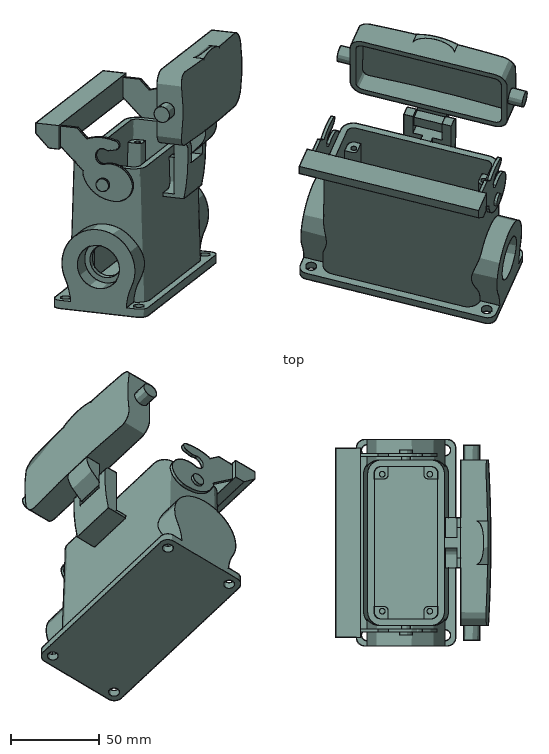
import cadquery as cq
TOTAL_HEIGHT = 144.5

PLATE_WIDTH = 56.4
PLATE_LENGTH = 117.0
PLATE_THICKNESS = 4.9
PLATE_CORNER_RADIUS = 5.0
MOUNTING_HOLE_RADIUS = 3.0
MOUNTING_HOLE_X = 22.1
MOUNTING_HOLE_Y = 52.3

TOWER_HEIGHT = 83.7
TOWER_LENGTH = 93.7
TOWER_TOP_WIDTH = 43.4
TOWER_FOOT_WIDTH = 48.0
TOWER_CORNER_RADIUS = 7.7
RIM_HEIGHT = 4.9
WALL = 3.8

COLUMN_TOP = 71.5
COLUMN_INNER_X = 10.1
COLUMN_INNER_Y = 36.1
COLUMN_CORNER_RADIUS = 2.3
SCREW_HOLE_X = 13.5
SCREW_HOLE_Y = 38.7
SCREW_HOLE_RADIUS = 1.6
SCREW_HOLE_DEPTH = 11.5

BOSS_RADIUS = 22.1
BOSS_CENTRE_Z = 27.2
BOSS_WAIST_HALF_WIDTH = 16.9
BOSS_SHOULDER_DROP = 9.3
CABLE_BORE_RADIUS = 12.7
CABLE_HOLE_RADIUS = 9.5
CABLE_BORE_DEPTH = 11.7

PIVOT_Z = 73.9
PIVOT_NECK_RADIUS = 2.6
PIVOT_HEAD_RADIUS = 3.8
PIVOT_HEAD_THICKNESS = 1.7

BRACKET_BOTTOM = 58.7
BRACKET_FLOOR = 60.9
BRACKET_WEB_TOP = 78.8
BRACKET_HALF_WIDTH = 14.2
BRACKET_WEB_HALF_THICKNESS = 3.0
BRACKET_FILLET = 3.9
POST_FRONT_X = 28.9
POST_BACK_X = 37.3
POST_FOOT_BACK_X = 34.8
POST_TOP = 92.5
POST_TOP_RADIUS = 4.2
POST_STRAIGHT_BOTTOM = 82.4

COVER_FRONT_X = 31.0
COVER_CROWN_X = 48.1
COVER_HEIGHT = 43.4
COVER_TOP = 142.4
COVER_WALL = 3.5
DOME_RISE_ACROSS = 1.95
DOME_RISE_ALONG = 1.37
COVER_PIN_X = 37.2
COVER_PIN_RADIUS = 4.6
COVER_PIN_SPAN = 110.5

TAB_HALF_LENGTH = 12.3
TAB_RAMP_START_X = 40.0
TAB_RAMP_END_X = 44.0
TAB_RAMP_MIDDLE = (42.5, 143.3)
TAB_BACK_X = 46.3

ARM_HALF_WIDTH = 8.7
ARM_FRONT_X = 36.7
ARM_BACK_X = 46.0
ARM_BEND_X = 42.4
ARM_BEND_Z = 89.3
ARM_FOOT_TOP = 89.9
ARM_FOOT_BOTTOM = 83.1

LEVER_SIDE_OFFSET = 48.7
LEVER_SIDE_THICKNESS = 1.9
HANDLE_LENGTH = 107.0
HANDLE_FRONT_X = -39.9
HANDLE_BACK_X = -25.9
HANDLE_TOP = 106.7
HANDLE_BOTTOM = 92.7
HANDLE_CHAMFER = 8.0

HALF_TOWER_LENGTH = TOWER_LENGTH / 2
RIM_BOTTOM = TOWER_HEIGHT - RIM_HEIGHT
COVER_CENTRE_Z = COVER_TOP - COVER_HEIGHT / 2
COVER_BOTTOM = COVER_TOP - COVER_HEIGHT


def cylinder_along_y(x, z, radius, y_start, y_end):
    return (
        cq.Workplane("XZ", origin=(x, y_start, z))
        .circle(radius)
        .extrude(y_start - y_end)
    )


def box_between(x_range, y_range, z_range):
    (x0, x1), (y0, y1), (z0, z1) = x_range, y_range, z_range
    return cq.Workplane("XY").box(x1 - x0, y1 - y0, z1 - z0, centered=False).translate((x0, y0, z0))


def extruded_about_y(outline, half_width):
    """Extrude an outline in the XZ plane to both sides of the middle plane."""
    return outline.extrude(half_width, both=True)


def base_plate():
    plate = (
        cq.Workplane("XY")
        .rect(PLATE_WIDTH, PLATE_LENGTH)
        .extrude(PLATE_THICKNESS)
        .edges("|Z")
        .fillet(PLATE_CORNER_RADIUS)
    )
    holes = (
        cq.Workplane("XY")
        .rect(2 * MOUNTING_HOLE_X, 2 * MOUNTING_HOLE_Y, forConstruction=True)
        .vertices()
        .circle(MOUNTING_HOLE_RADIUS)
        .extrude(PLATE_THICKNESS)
    )
    return plate.cut(holes)


def tower_shape(inset):
    """Tower with sloping X sides and an upright rim, shrunk all round by inset."""
    top_x = TOWER_TOP_WIDTH / 2 - inset
    foot_x = TOWER_FOOT_WIDTH / 2 - inset
    outline = cq.Workplane("XZ").polyline(
        [
            (-foot_x, PLATE_THICKNESS),
            (-top_x, RIM_BOTTOM),
            (-top_x, TOWER_HEIGHT),
            (top_x, TOWER_HEIGHT),
            (top_x, RIM_BOTTOM),
            (foot_x, PLATE_THICKNESS),
        ]
    )
    tower = extruded_about_y(outline.close(), HALF_TOWER_LENGTH - inset)
    return tower.edges("(not |X) and (not |Y)").fillet(TOWER_CORNER_RADIUS - inset)


def cable_bosses():
    """Bosses with a keyhole outline on both ends of the tower."""
    inner_y = HALF_TOWER_LENGTH - TOWER_CORNER_RADIUS
    shoulder_x = (BOSS_RADIUS**2 - BOSS_SHOULDER_DROP**2) ** 0.5
    half = (
        cq.Workplane("XZ", origin=(0, -inner_y, 0))
        .moveTo(0, BOSS_CENTRE_Z + BOSS_RADIUS)
        .radiusArc((shoulder_x, BOSS_CENTRE_Z + BOSS_SHOULDER_DROP), BOSS_RADIUS)
        .radiusArc((shoulder_x, BOSS_CENTRE_Z - BOSS_SHOULDER_DROP), BOSS_RADIUS)
        .tangentArcPoint((BOSS_WAIST_HALF_WIDTH, PLATE_THICKNESS), relative=False)
        .lineTo(BOSS_WAIST_HALF_WIDTH, 0)
        .lineTo(0, 0)
        .close()
        .extrude(PLATE_LENGTH / 2 - inner_y)
    )
    return half.mirror("YZ", union=True).mirror("XZ", union=True)


def screw_columns():
    outer_x = TOWER_FOOT_WIDTH / 2
    column = (
        box_between(
            (COLUMN_INNER_X, outer_x),
            (COLUMN_INNER_Y, HALF_TOWER_LENGTH),
            (PLATE_THICKNESS, COLUMN_TOP),
        )
        .edges("|Z and <X and <Y")
        .fillet(COLUMN_CORNER_RADIUS)
    )
    screw_hole = (
        cq.Workplane("XY", origin=(SCREW_HOLE_X, SCREW_HOLE_Y, COLUMN_TOP))
        .circle(SCREW_HOLE_RADIUS)
        .extrude(-SCREW_HOLE_DEPTH)
    )
    return column.cut(screw_hole).mirror("YZ", union=True).mirror("XZ", union=True)


def cable_entry():
    """Stepped bore through the boss at the -Y end into the cavity."""
    outer_y = -PLATE_LENGTH / 2
    bore = cylinder_along_y(0, BOSS_CENTRE_Z, CABLE_BORE_RADIUS, outer_y, outer_y + CABLE_BORE_DEPTH)
    hole = cylinder_along_y(0, BOSS_CENTRE_Z, CABLE_HOLE_RADIUS, outer_y, -COLUMN_INNER_Y)
    return bore.union(hole)


def pivot(end):
    """Headed pin through one lever side."""
    head_start = LEVER_SIDE_OFFSET + LEVER_SIDE_THICKNESS
    head_end = head_start + PIVOT_HEAD_THICKNESS
    inner_y = HALF_TOWER_LENGTH - WALL / 2
    neck = cylinder_along_y(0, PIVOT_Z, PIVOT_NECK_RADIUS, end * inner_y, end * head_start)
    head = cylinder_along_y(0, PIVOT_Z, PIVOT_HEAD_RADIUS, end * head_start, end * head_end)
    return neck.union(head)


def bracket_web():
    """Inverted T between the tower and the posts, with a filleted root."""
    wall_x = TOWER_TOP_WIDTH / 2 - WALL / 2
    foot = box_between(
        (wall_x, POST_FRONT_X), (-BRACKET_HALF_WIDTH, BRACKET_HALF_WIDTH), (BRACKET_BOTTOM, BRACKET_FLOOR)
    )
    web = box_between(
        (wall_x, POST_FRONT_X),
        (-BRACKET_WEB_HALF_THICKNESS, BRACKET_WEB_HALF_THICKNESS),
        (BRACKET_BOTTOM, BRACKET_WEB_TOP),
    )
    root_edges = cq.selectors.BoxSelector(
        (wall_x, -BRACKET_HALF_WIDTH / 2, BRACKET_FLOOR - 0.1),
        (POST_FRONT_X, BRACKET_HALF_WIDTH / 2, BRACKET_FLOOR + 0.1),
    )
    return foot.union(web).edges("|X").edges(root_edges).fillet(BRACKET_FILLET)


def bracket_posts():
    """Two posts on a common wall, with a slot between them for the cover arm."""
    outline = (
        cq.Workplane("XZ")
        .moveTo(POST_FRONT_X, BRACKET_BOTTOM)
        .lineTo(POST_FRONT_X, POST_TOP)
        .lineTo(POST_BACK_X - POST_TOP_RADIUS, POST_TOP)
        .radiusArc((POST_BACK_X, POST_TOP - POST_TOP_RADIUS), POST_TOP_RADIUS)
        .lineTo(POST_BACK_X, POST_STRAIGHT_BOTTOM)
        .tangentArcPoint((POST_FOOT_BACK_X, BRACKET_BOTTOM), relative=False)
        .close()
    )
    slot = box_between(
        (POST_FRONT_X, POST_BACK_X), (-ARM_HALF_WIDTH, ARM_HALF_WIDTH), (BRACKET_WEB_TOP, POST_TOP)
    )
    return extruded_about_y(outline, BRACKET_HALF_WIDTH).cut(slot)


def cover_block(inset, front_x, corner_radius):
    """Round-cornered block along X whose back is domed in both directions."""
    height = COVER_HEIGHT - 2 * inset
    length = TOWER_LENGTH - 2 * inset
    crown_x = COVER_CROWN_X - inset
    block = (
        cq.Workplane("YZ", origin=(front_x, 0, COVER_CENTRE_Z))
        .rect(length, height)
        .extrude(crown_x - front_x)
        .edges("|X")
        .fillet(corner_radius)
    )
    return block.intersect(dome(crown_x, front_x))


def dome(crown_x, front_x):
    """Ring sector bounded outside by a surface curved along Y and along Z."""
    half_height = COVER_HEIGHT / 2
    ring_radius = HALF_TOWER_LENGTH**2 / (2 * DOME_RISE_ALONG)
    axis_x = crown_x - ring_radius
    inner_x = front_x - 2 * DOME_RISE_ALONG
    edge_x = crown_x - DOME_RISE_ACROSS
    sector_angle = 10
    return (
        cq.Workplane("XZ", origin=(0, 0, COVER_CENTRE_Z))
        .moveTo(inner_x, -half_height)
        .lineTo(edge_x, -half_height)
        .threePointArc((crown_x, 0), (edge_x, half_height))
        .lineTo(inner_x, half_height)
        .close()
        .revolve(sector_angle, (axis_x, 0), (axis_x, 1))
        .rotate((axis_x, 0, 0), (axis_x, 0, 1), -sector_angle / 2)
    )


def cover_pin(end):
    inner_y = HALF_TOWER_LENGTH - COVER_WALL / 2
    tip_y = COVER_PIN_SPAN / 2
    return cylinder_along_y(COVER_PIN_X, COVER_CENTRE_Z, COVER_PIN_RADIUS, end * inner_y, end * tip_y)


def thumb_tab():
    """Arched tab on top of the cover with a hollow ramp on its front."""
    arch = (
        cq.Workplane("YZ", origin=(TAB_RAMP_START_X, 0, 0))
        .moveTo(-TAB_HALF_LENGTH, COVER_TOP)
        .threePointArc((0, TOTAL_HEIGHT), (TAB_HALF_LENGTH, COVER_TOP))
        .lineTo(TAB_HALF_LENGTH, COVER_TOP - COVER_WALL / 2)
        .lineTo(-TAB_HALF_LENGTH, COVER_TOP - COVER_WALL / 2)
        .close()
        .extrude(TAB_BACK_X - TAB_RAMP_START_X)
    )
    above_ramp = (
        cq.Workplane("XZ")
        .moveTo(TAB_RAMP_START_X, COVER_TOP)
        .lineTo(TAB_RAMP_START_X, TOTAL_HEIGHT)
        .lineTo(TAB_RAMP_END_X, TOTAL_HEIGHT)
        .threePointArc(TAB_RAMP_MIDDLE, (TAB_RAMP_START_X, COVER_TOP))
        .close()
    )
    return arch.cut(extruded_about_y(above_ramp, TAB_HALF_LENGTH))


def cover_arm():
    """Arm below the cover whose foot fills the slot between the posts."""
    foot_back_x = ARM_BEND_X - (ARM_BEND_Z - ARM_FOOT_BOTTOM)
    arm_top = COVER_BOTTOM + COVER_WALL / 2
    outline = (
        cq.Workplane("XZ")
        .moveTo(ARM_FRONT_X, arm_top)
        .lineTo(ARM_FRONT_X, ARM_FOOT_TOP)
        .lineTo(COVER_FRONT_X, ARM_FOOT_TOP)
        .lineTo(COVER_FRONT_X, ARM_FOOT_BOTTOM)
        .lineTo(foot_back_x, ARM_FOOT_BOTTOM)
        .lineTo(ARM_BEND_X, ARM_BEND_Z)
        .tangentArcPoint((ARM_BACK_X, COVER_BOTTOM), relative=False)
        .lineTo(ARM_BACK_X, arm_top)
        .close()
    )
    return extruded_about_y(outline, ARM_HALF_WIDTH)


def cover():
    recess = cover_block(COVER_WALL, COVER_FRONT_X, TOWER_CORNER_RADIUS - COVER_WALL)
    shell = cover_block(0, COVER_FRONT_X, TOWER_CORNER_RADIUS).cut(recess)
    for end in (-1, 1):
        shell = shell.union(cover_pin(end))
    return shell.union(thumb_tab()).union(cover_arm())


def housing_with_cover():
    cavity = tower_shape(WALL).cut(screw_columns())
    body = base_plate().union(tower_shape(0)).union(cable_bosses()).union(bracket_web())
    for end in (-1, 1):
        body = body.union(pivot(end))
    body = body.cut(cavity).cut(cable_entry())
    return body.union(bracket_posts()).union(cover())


def lever_side(end):
    """Flat side with a hook for the cover pin and a hole for the pivot."""
    blank = (
        cq.Workplane("XZ", origin=(0, end * LEVER_SIDE_OFFSET, 0))
        .moveTo(HANDLE_BACK_X, 105.5)
        .lineTo(-15.9, 105.5)
        .lineTo(-10.0, 99.7)
        .threePointArc((-0.7, 101.5), (6.4, 100.5))
        .threePointArc((9.4, 97.6), (7.0, 95.0))
        .lineTo(2.9, 94.1)
        .lineTo(-0.1, 95.0)
        .threePointArc((-4.8, 90.4), (-0.1, 85.6))
        .threePointArc((10.1, 85.1), (17.6, 75.2))
        .threePointArc((14.5, 67.5), (5.8, 64.6))
        .threePointArc((-4.3, 67.7), (-12.3, 78.0))
        .lineTo(-12.3, 80.7)
        .lineTo(HANDLE_BACK_X, 93.5)
        .close()
        .extrude(-end * LEVER_SIDE_THICKNESS)
    )
    reach = LEVER_SIDE_OFFSET + LEVER_SIDE_THICKNESS
    return blank.cut(cylinder_along_y(0, PIVOT_Z, PIVOT_NECK_RADIUS, end * LEVER_SIDE_OFFSET, end * reach))


def lever_handle():
    outline = (
        cq.Workplane("XZ")
        .moveTo(HANDLE_BACK_X, HANDLE_BOTTOM)
        .lineTo(HANDLE_BACK_X, HANDLE_TOP)
        .lineTo(HANDLE_FRONT_X, HANDLE_TOP)
        .lineTo(HANDLE_FRONT_X, HANDLE_BOTTOM + HANDLE_CHAMFER)
        .lineTo(HANDLE_FRONT_X + HANDLE_CHAMFER, HANDLE_BOTTOM)
        .close()
    )
    return extruded_about_y(outline, HANDLE_LENGTH / 2)


def locking_lever():
    return lever_handle().union(lever_side(-1)).union(lever_side(1))


housing = housing_with_cover()
lever = locking_lever()
result = cq.Compound.makeCompound([housing.val(), lever.val()])